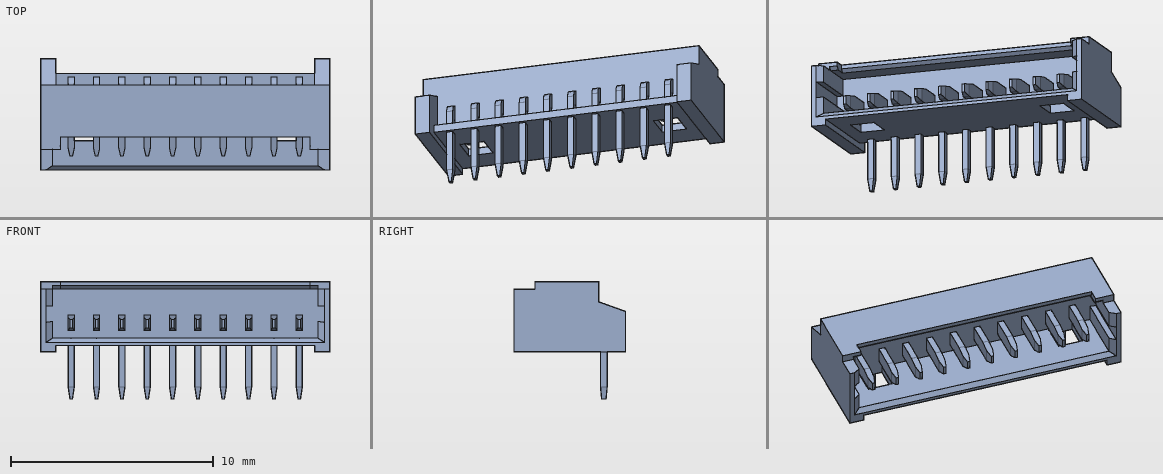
import cadquery as cq


length = 14.25
depth = 5.5
height = 3.46
overall_height = 5.8
side_wall_top = 3.09
flange_front = 1.03
rear_face = 4.19
rail_rear_height = 2.0
rail_slope_top = 2.47

rail_width = 0.74
floor_bottom = 0.3
floor_top = 0.67
shelf_rear = 4.77
rail_gap = length - 2 * rail_width

cavity_side_wall = 0.57
cavity_width = length - 2 * cavity_side_wall
cavity_depth = 2.92
mouth_side_wall = 0.25
mouth_width = length - 2 * mouth_side_wall
mouth_bevel = 0.21
notch_width = 12.31
notch_rear = 1.62
roof_bevel = 0.17

slot_top = 2.25
slot_bottom_inner = 1.5
slot_bottom_outer = 1.45

pin_count = 10
pin_span = 11.25
pitch = pin_span / (pin_count - 1)
pin_width = 0.31
blade_top = 1.81
blade_bottom = 1.05
blade_tip = 0.7
blade_side_taper = 0.4
blade_top_taper = 0.95
blade_tip_width = 0.13
blade_tip_top = 1.6
blade_tip_bottom = 1.18
leg_rear = 4.6
leg_thickness = 0.34
leg_front = leg_rear - leg_thickness
bend_radius = leg_rear - rear_face
leg_taper_top = -1.72
leg_tip = height - overall_height
leg_tip_width = 0.13
leg_tip_thickness = 0.23

window_front = 1.45


def box(x_size, y_range, z_range, x_center=0.0):
    """Box centred on x_center, between the given y and z limits."""
    y_min, y_max = y_range
    z_min, z_max = z_range
    return (
        cq.Workplane("XY")
        .box(x_size, y_max - y_min, z_max - z_min, centered=(True, False, False))
        .translate((x_center, y_min, z_min))
    )


def side_prism(points, width):
    """Closed (y, z) outline extruded symmetrically along X."""
    return cq.Workplane("YZ").polyline(points).close().extrude(width / 2, both=True)


def housing_block():
    """Full-length block with the stepped top and sloping rail ends."""
    outline = [
        (0, 0),
        (depth, 0),
        (depth, rail_rear_height),
        (rear_face, rail_slope_top),
        (rear_face, height),
        (flange_front, height),
        (flange_front, side_wall_top),
        (0, side_wall_top),
    ]
    block = side_prism(outline, length)
    under_floor = box(rail_gap, (0, depth), (0, floor_bottom))
    above_shelf = box(rail_gap, (rear_face, depth), (floor_top, height))
    behind_shelf = box(rail_gap, (shelf_rear, depth), (0, height))
    return block.cut(under_floor).cut(above_shelf).cut(behind_shelf)


def mouth():
    """Bevelled entry narrowing from the mating face to the cavity section."""
    entry_height = side_wall_top - floor_top + mouth_bevel
    return (
        cq.Workplane("XZ")
        .center(0, side_wall_top - entry_height / 2)
        .rect(mouth_width, entry_height)
        .workplane(offset=-mouth_bevel)
        .center(0, mouth_bevel / 2)
        .rect(cavity_width, entry_height - mouth_bevel)
        .loft(ruled=True)
    )


def keying_slots():
    """Pair of side-wall slots whose lower faces fall slightly outwards."""
    x_inner = cavity_width / 2
    x_outer = mouth_width / 2
    section = [
        (-x_outer, slot_bottom_outer),
        (-x_inner, slot_bottom_inner),
        (x_inner, slot_bottom_inner),
        (x_outer, slot_bottom_outer),
        (x_outer, slot_top),
        (-x_outer, slot_top),
    ]
    return cq.Workplane("XZ").polyline(section).close().extrude(-cavity_depth)


def roof_edge_bevel(front, width):
    """45 degree bevel under a front edge of the roof."""
    triangle = [
        (front, side_wall_top),
        (front + roof_bevel, side_wall_top),
        (front, side_wall_top + roof_bevel),
    ]
    return side_prism(triangle, width)


def cut_cavity(body):
    """Open the mating cavity, its keying slots and the notched roof."""
    body = body.cut(box(cavity_width, (0, cavity_depth), (floor_top, side_wall_top)))
    body = body.cut(mouth())
    body = body.cut(keying_slots())
    body = body.cut(box(notch_width, (flange_front, notch_rear), (side_wall_top, height)))
    body = body.cut(roof_edge_bevel(flange_front, cavity_width))
    return body.cut(roof_edge_bevel(notch_rear, notch_width))


def cut_floor_windows(body):
    """Open one pitch-wide window through the floor near each end."""
    for side in (-1, 1):
        x_center = side * (pin_span - pitch) / 2
        body = body.cut(box(pitch, (window_front, cavity_depth), (0, floor_top), x_center))
    return body


def pin():
    """Right-angle pin: tapered blade, rounded rear bend and pointed leg."""
    bent_strip = (
        cq.Workplane("YZ")
        .moveTo(blade_tip, blade_tip_bottom)
        .lineTo(blade_tip, blade_tip_top)
        .lineTo(blade_tip + blade_top_taper, blade_top)
        .lineTo(rear_face, blade_top)
        .radiusArc((leg_rear, blade_top - bend_radius), bend_radius)
        .lineTo(leg_rear, leg_taper_top)
        .lineTo(leg_front, leg_taper_top)
        .lineTo(leg_front, blade_bottom)
        .lineTo(blade_tip + blade_side_taper, blade_bottom)
        .close()
        .extrude(pin_width / 2, both=True)
    )
    plan = (
        cq.Workplane("XY", origin=(0, 0, leg_taper_top))
        .polyline([
            (-blade_tip_width / 2, blade_tip),
            (blade_tip_width / 2, blade_tip),
            (pin_width / 2, blade_tip + blade_side_taper),
            (pin_width / 2, leg_rear),
            (-pin_width / 2, leg_rear),
            (-pin_width / 2, blade_tip + blade_side_taper),
        ])
        .close()
        .extrude(blade_top - leg_taper_top)
    )
    leg_point = (
        cq.Workplane("XY", origin=(0, leg_rear - leg_thickness / 2, leg_tip))
        .rect(leg_tip_width, leg_tip_thickness)
        .workplane(offset=leg_taper_top - leg_tip)
        .rect(pin_width, leg_thickness)
        .loft(ruled=True)
    )
    return bent_strip.intersect(plan).union(leg_point)


result = cut_floor_windows(cut_cavity(housing_block()))
for index in range(pin_count):
    result = result.union(pin().translate((index * pitch - pin_span / 2, 0, 0)))